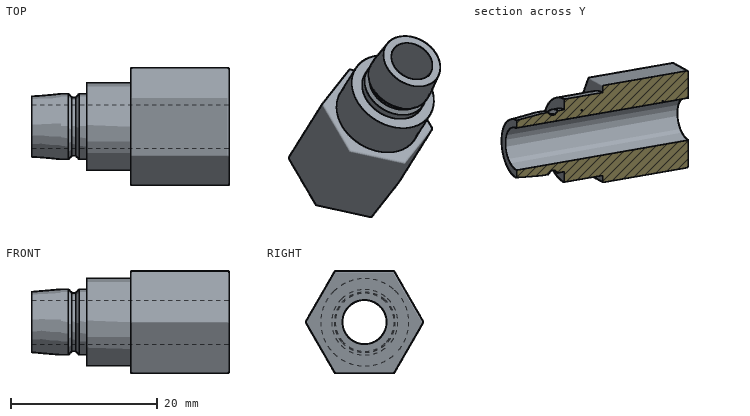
import cadquery as cq

bore_radius = 3.0
tip_radius = 4.15
nose_radius = 4.5
groove_radius = 4.0
collar_radius = 6.0
hex_across_flats = 14.0
hex_edge_radius = 0.25
flat_to_top_angle = 90.0

taper_length = 4.0
land_length = 1.0
groove_floor_length = 0.5
neck_length = 1.0
collar_length = 6.0
hex_length = 13.5

groove_depth = nose_radius - groove_radius

groove_start = taper_length + land_length
groove_floor_start = groove_start + groove_depth
groove_floor_end = groove_floor_start + groove_floor_length
groove_end = groove_floor_end + groove_depth
collar_start = groove_end + neck_length
hex_start = collar_start + collar_length
total_length = hex_start + hex_length


def make_spigot():
    """Revolve the tapered nose, the locking groove and the round collar about X."""
    profile = (
        cq.Workplane("XZ")
        .lineTo(0, tip_radius)
        .lineTo(taper_length, nose_radius)
        .lineTo(groove_start, nose_radius)
        .lineTo(groove_floor_start, groove_radius)
        .lineTo(groove_floor_end, groove_radius)
        .lineTo(groove_end, nose_radius)
        .lineTo(collar_start, nose_radius)
        .lineTo(collar_start, collar_radius)
        .lineTo(hex_start, collar_radius)
        .lineTo(hex_start, 0)
        .close()
    )
    return profile.revolve(360, (0, 0, 0), (1, 0, 0))


def make_hex_body():
    """Hexagon with flats facing +Z and -Z and every edge rounded."""
    return (
        cq.Workplane("YZ", origin=(hex_start, 0, 0))
        .polygon(6, hex_across_flats, circumscribed=True)
        .extrude(hex_length)
        .rotate((0, 0, 0), (1, 0, 0), flat_to_top_angle)
        .edges()
        .fillet(hex_edge_radius)
    )


def make_bore():
    """Straight passage through the whole part."""
    return cq.Workplane("YZ").circle(bore_radius).extrude(total_length)


result = make_spigot().union(make_hex_body()).cut(make_bore())